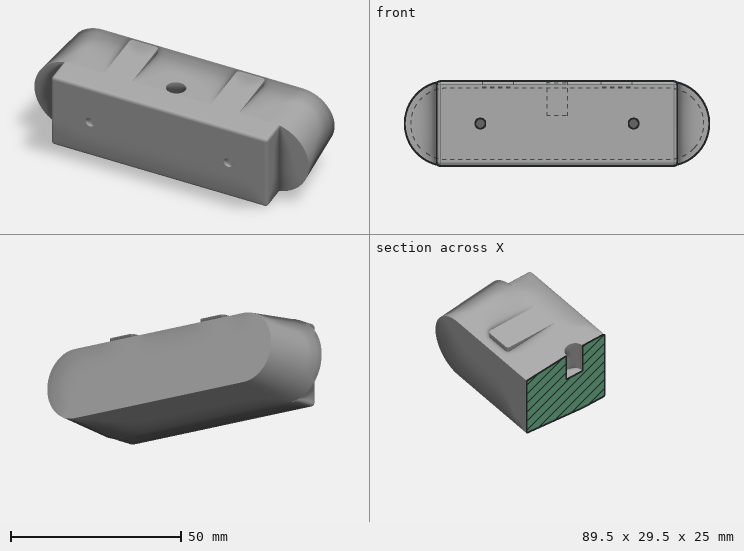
import cadquery as cq

height = 25.0
body_length = 89.5
body_depth = 21.0
back_length = 86.0
back_height = 21.0

block_length = 70.5
block_depth = 8.5
block_fillet = 1.0

tab_width = 9.2
tab_spacing = 34.8
tab_reach = 18.0
tab_fillet = 1.0

top_hole_diameter = 6.0
top_hole_depth = 10.0

front_hole_diameter = 3.0
front_hole_spacing = 45.0
front_hole_depth = 8.0


def xz_plane(y):
    """Sketch plane at the given Y, with X right, Z up and its normal along -Y."""
    return cq.Workplane("XZ", origin=(0, y, 0))


def make_body():
    """Loft from the large stadium at Y = 0 to the small one at the back."""
    large_end = xz_plane(0).slot2D(body_length, height)
    both_ends = large_end.workplane(offset=-body_depth).slot2D(back_length, back_height)
    return both_ends.loft(ruled=True)


def make_block():
    """Rectangular block with every edge rounded except those against the body."""
    block = xz_plane(0).rect(block_length, height).extrude(block_depth)
    return block.edges("not >Y").fillet(block_fillet)


def make_tab(x):
    """Level-topped tab with rounded free corners, reaching down into the body."""
    tab_thickness = height / 2
    tab = (
        cq.Workplane("XY")
        .center(x, tab_reach / 2)
        .rect(tab_width, tab_reach)
        .extrude(tab_thickness)
    )
    return tab.edges("|Z and >Y").fillet(tab_fillet)


def make_top_hole():
    """Vertical cutter for the hole in the top."""
    top_hole_radius = top_hole_diameter / 2
    return (
        cq.Workplane("XY", origin=(0, top_hole_radius, height / 2))
        .circle(top_hole_radius)
        .extrude(-top_hole_depth)
    )


def make_front_holes():
    """Cutters for the two holes in the front face of the block."""
    half_spacing = front_hole_spacing / 2
    return (
        xz_plane(-block_depth)
        .pushPoints([(-half_spacing, 0), (half_spacing, 0)])
        .circle(front_hole_diameter / 2)
        .extrude(-front_hole_depth)
    )


result = make_body().union(make_block())
for tab_x in (-tab_spacing / 2, tab_spacing / 2):
    result = result.union(make_tab(tab_x))
result = result.cut(make_top_hole()).cut(make_front_holes())